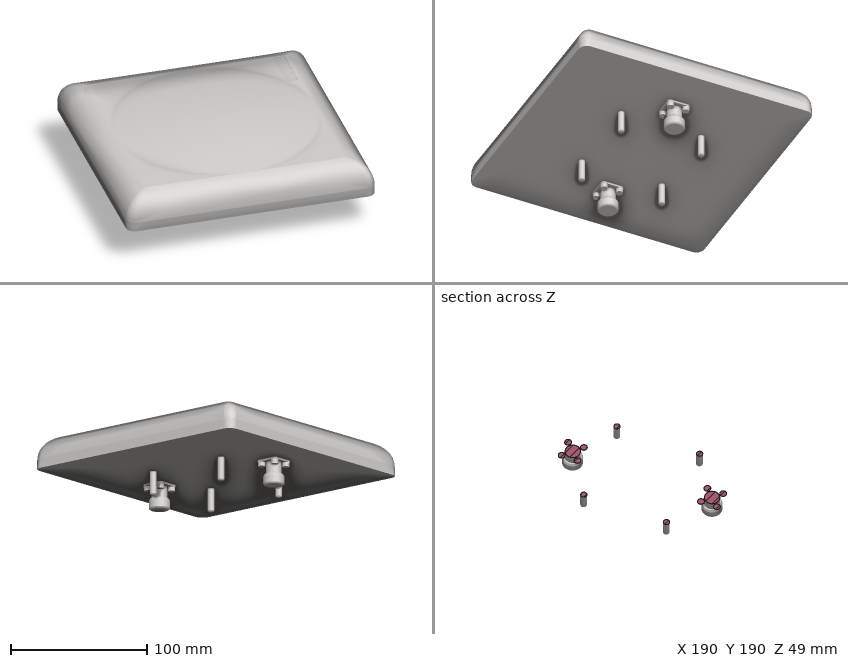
import cadquery as cq
import math

total_height = 49.0

housing_width = 190.0
base_height = 7.2
cover_round = 18.0
corner_radius = 6.6
apex_radius = 0.04
cover_steps = 6
cover_top = base_height + cover_round

dome_diameter = 153.1
dome_height = 5.0
dome_root = 5.7

label_length = 35.3
label_width = 8.5
label_depth = 0.2
label_center_x = -57.5
label_center_y = 70.5

pin_diameter = 5.0
pin_length = 17.7
pin_chamfer = 0.8
pin_offset = 32.7

connector_center_x = 0.5
connector_offset = 55.1
connector_length = total_height - cover_top - dome_height
washer_diameter = 5.5
washer_height = 1.5
screw_head_diameter = 5.3
screw_head_height = 1.7
screw_offset = 6.3
flange_thickness = 1.5
flange_width = 18.2
flange_corner_radius = 2.5
barrel_diameter = 11.5
collar_diameter = 15.5
collar_height = 8.2
collar_chamfer = 1.0
collar_shoulder_height = 1.5


def rounded_square(width, radius, z):
    """Sketch of a square with rounded corners, centred on the Z axis."""
    sketch = cq.Sketch().rect(width, width).vertices().fillet(radius)
    return sketch.moved(cq.Location(cq.Vector(0, 0, z)))


def cover_section(step):
    """Outline of the cover at one angle of its quarter-round side."""
    angle = math.pi / 2 * step / cover_steps
    width = housing_width - 2 * cover_round * (1 - math.cos(angle))
    radius = max(corner_radius * math.cos(angle), apex_radius)
    return rounded_square(width, radius, base_height + cover_round * math.sin(angle))


def make_housing():
    base_outline = rounded_square(housing_width, corner_radius, 0)
    base = cq.Workplane("XY").placeSketch(base_outline).extrude(base_height)
    sections = [cover_section(step) for step in range(cover_steps + 1)]
    cover = cq.Workplane("XY").placeSketch(*sections).loft()
    return base.union(cover)


def make_dome():
    rim = dome_diameter / 2
    sphere_radius = (rim**2 + dome_height**2) / (2 * dome_height)
    half_angle = math.asin(rim / sphere_radius) / 2
    arc_middle = (
        sphere_radius * math.sin(half_angle),
        dome_height - sphere_radius * (1 - math.cos(half_angle)),
    )
    return (
        cq.Workplane("XZ", origin=(0, 0, cover_top))
        .moveTo(0, -dome_root)
        .lineTo(0, dome_height)
        .threePointArc(arc_middle, (rim, 0))
        .lineTo(rim, -dome_root)
        .close()
        .revolve(360, (0, 0, 0), (0, 1, 0))
    )


def make_label_recess():
    """Cutter centred on the top face, so its lower half forms the recess."""
    return cq.Workplane("XY", origin=(label_center_x, label_center_y, cover_top)).box(
        label_length, label_width, 2 * label_depth
    )


def cylinders_at_corners(offset, diameter, length):
    """Four cylinders hanging down from Z = 0 at the corners of a square."""
    return (
        cq.Workplane("XY")
        .rect(2 * offset, 2 * offset, forConstruction=True)
        .vertices()
        .circle(diameter / 2)
        .extrude(-length)
    )


def make_pins():
    pins = cylinders_at_corners(pin_offset, pin_diameter, pin_length)
    return pins.faces("<Z").chamfer(pin_chamfer)


def make_connector(x):
    """Square flange with four screws on washers, a barrel and a chamfered end collar."""
    flange = (
        cq.Workplane("XY")
        .rect(flange_width, flange_width)
        .extrude(-flange_thickness)
        .edges("|Z")
        .fillet(flange_corner_radius)
    )
    washer_end = flange_thickness + washer_height
    washers = cylinders_at_corners(screw_offset, washer_diameter, washer_end)
    screws = cylinders_at_corners(screw_offset, screw_head_diameter, washer_end + screw_head_height)
    barrel = cq.Workplane("XY").circle(barrel_diameter / 2).extrude(-connector_length)
    collar = (
        cq.Workplane("XY", origin=(0, 0, -connector_length))
        .circle(collar_diameter / 2)
        .extrude(collar_height)
        .faces("<Z")
        .chamfer(collar_chamfer)
        .faces(">Z")
        .chamfer(collar_shoulder_height, collar_chamfer)
    )
    connector = flange.union(washers).union(screws).union(barrel).union(collar)
    return connector.translate((x, 0, 0))


result = make_housing().union(make_dome()).cut(make_label_recess()).union(make_pins())
for side in (-1, 1):
    result = result.union(make_connector(connector_center_x + side * connector_offset))